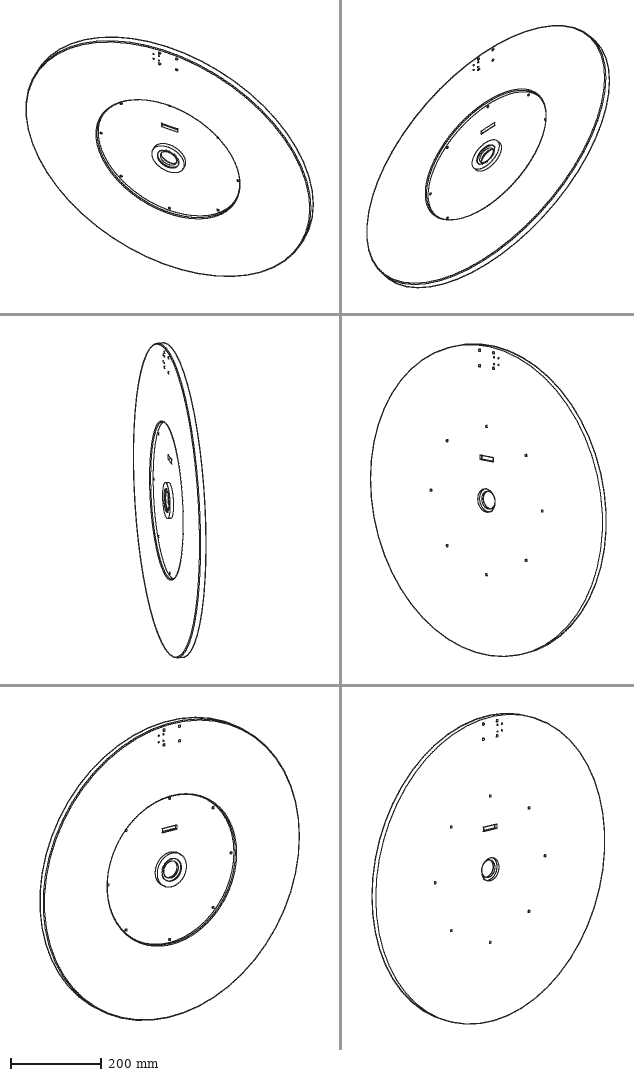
import cadquery as cq
import math

disc_diameter = 700.0
thickness = 15.0
front_y = -thickness / 2
rim_chamfer = 2.0

recess_diameter = 350.0
recess_depth = 8.0
recess_chamfer = 2.0

hub_diameter = 80.0
bore_diameter = 40.0
counterbore_diameter = 52.5
counterbore_depth = 3.0
bore_lip_thickness = 5.5

ring_hole_count = 8
ring_hole_radius = 168.0
ring_hole_diameter = 5.0

slot_width = 40.0
slot_height = 10.0
slot_z = 95.0

mount_hole_diameter = 5.5
mount_hole_x = (-21.0, 21.0)
mount_hole_z = (302.5, 337.5)
pin_hole_diameter = 3.0
pin_hole_x = (-36.0, -22.5)
pin_hole_z = (312.0, 327.5)

def plane_at(depth):
    """Work plane at a depth below the front face, normal toward -Y."""
    return cq.Workplane("XZ", origin=(0, front_y + depth, 0))

def cylinder(diameter, start_depth, end_depth):
    """Cylinder on the disc axis between two depths below the front face."""
    return plane_at(start_depth).circle(diameter / 2).extrude(start_depth - end_depth)

def through_holes(points, diameter):
    """Cutters passing through the whole disc at (x, z) points."""
    return plane_at(0).pushPoints(points).circle(diameter / 2).extrude(-thickness)

def grid(xs, zs):
    """All (x, z) pairs of the given columns and rows."""
    return [(x, z) for x in xs for z in zs]

def ring_points():
    """Evenly spaced (x, z) points on the screw hole circle."""
    step = 2 * math.pi / ring_hole_count
    return [
        (ring_hole_radius * math.cos(i * step), ring_hole_radius * math.sin(i * step))
        for i in range(ring_hole_count)
    ]

disc = cylinder(disc_diameter, 0, thickness).faces("<Y").chamfer(rim_chamfer)

disc = disc.cut(cylinder(recess_diameter, 0, recess_depth))
mouth_edge = cq.selectors.RadiusNthSelector(0)
disc = disc.faces("<Y").edges(mouth_edge).chamfer(recess_chamfer)

disc = disc.union(cylinder(hub_diameter, 0, thickness))
disc = disc.cut(cylinder(counterbore_diameter, 0, counterbore_depth))
back_start = counterbore_depth + bore_lip_thickness
disc = disc.cut(cylinder(counterbore_diameter, back_start, thickness))
disc = disc.cut(cylinder(bore_diameter, 0, thickness))

disc = disc.cut(plane_at(0).center(0, slot_z).rect(slot_width, slot_height).extrude(-thickness))
disc = disc.cut(through_holes(ring_points(), ring_hole_diameter))
disc = disc.cut(through_holes(grid(mount_hole_x, mount_hole_z), mount_hole_diameter))
disc = disc.cut(through_holes(grid(pin_hole_x, pin_hole_z), pin_hole_diameter))

result = disc